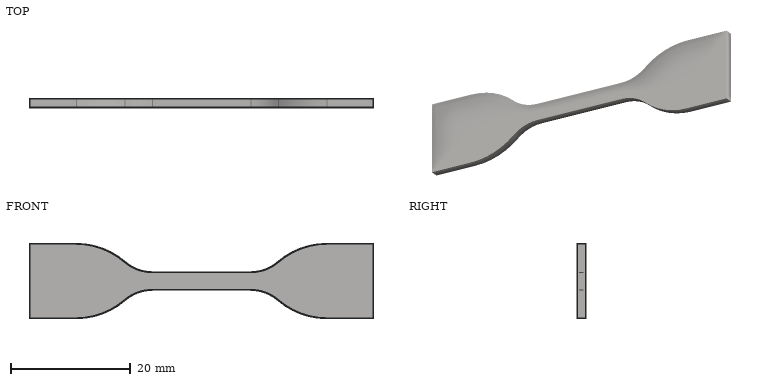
import math

import cadquery as cq

overall_length = 57.5
grip_width = 12.5
gauge_width = 3.0
gauge_length = 16.5
thickness = 1.5
grip_radius = 12.5
gauge_radius = 7.0

half_length = overall_length / 2
half_grip = grip_width / 2
half_gauge = gauge_width / 2
gauge_end = gauge_length / 2
radius_sum = grip_radius + gauge_radius
sweep = math.acos(1 - (half_grip - half_gauge) / radius_sum)
grip_start = gauge_end + radius_sum * math.sin(sweep)


def gauge_arc_point(angle):
    """Point on the concave arc, at an angle turned from the gauge edge."""
    x = gauge_end + gauge_radius * math.sin(angle)
    z = half_gauge + gauge_radius * (1 - math.cos(angle))
    return x, z


def grip_arc_point(angle):
    """Point on the convex arc, at an angle turned from the grip edge."""
    x = grip_start - grip_radius * math.sin(angle)
    z = half_grip - grip_radius * (1 - math.cos(angle))
    return x, z


def quarter_profile():
    """Quarter of the outline in the +X, +Z quadrant, closed along both axes."""
    return (
        cq.Workplane("XZ")
        .lineTo(0, half_gauge)
        .lineTo(gauge_end, half_gauge)
        .threePointArc(gauge_arc_point(sweep / 2), gauge_arc_point(sweep))
        .threePointArc(grip_arc_point(sweep / 2), (grip_start, half_grip))
        .lineTo(half_length, half_grip)
        .lineTo(half_length, 0)
        .close()
    )


quarter = quarter_profile().extrude(thickness / 2, both=True)
half = quarter.union(quarter.mirror("XY"))
result = half.union(half.mirror("YZ")).clean()